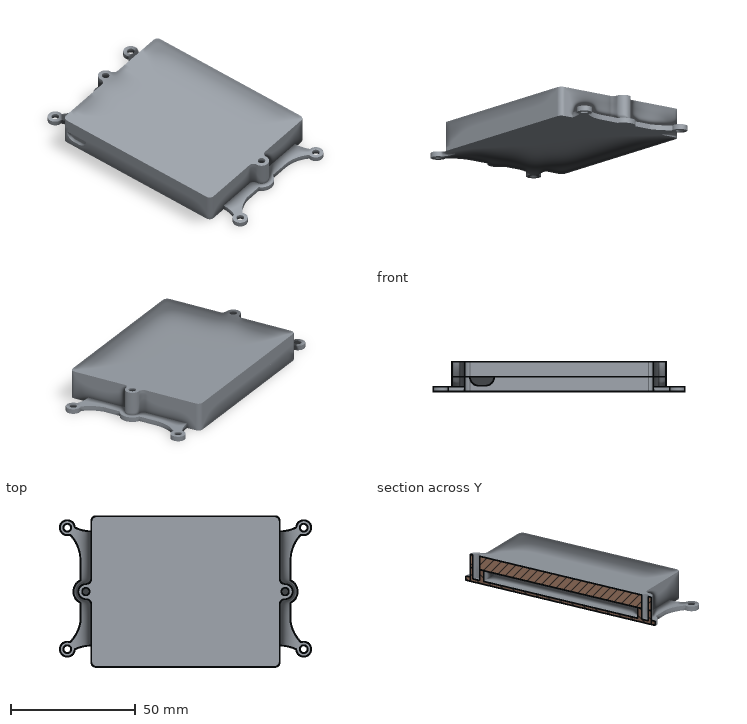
import cadquery as cq
import math

overall_length = 100.7
height = 12.0
case_length = 75.5
case_width = 60.4
base_height = 5.9
lid_height = height - base_height
corner_radius = 2.0

ear_center_x = 39.9
ear_radius = 3.0
ear_blend_radius = 2.0
hole_diameter = 3.0

wall = 1.5
floor = 1.5

slot_center_x = -30.8
slot_width = 9.8
slot_depth = 3.6

bracket_thickness = 2.0
bracket_edge_x = 42.1
bracket_disc_radius = 5.0
foot_radius = 3.0
foot_x = overall_length / 2 - foot_radius
back_foot_y = 25.6
front_foot_y = -23.1
end_edge_inset = 1.4
edge_curve_radius = 15.1
straight_edge_half_length = 12.1
foot_join_x = 46.2

half_length = case_length / 2
half_width = case_width / 2
select_margin = 0.1


def case_outline(thickness):
    """Rounded rectangle with one blended screw ear on each short side."""
    ears = cq.Workplane("XY").slot2D(2 * (ear_center_x + ear_radius), 2 * ear_radius).extrude(thickness)
    box = cq.Workplane("XY").box(case_length, case_width, thickness, centered=(True, True, False))
    box = box.edges("|Z").fillet(corner_radius)
    blend_corners = cq.selectors.BoxSelector(
        (-half_length - select_margin, -ear_radius - select_margin, 0),
        (half_length + select_margin, ear_radius + select_margin, thickness),
    )
    return box.union(ears).edges("|Z").edges(blend_corners).fillet(ear_blend_radius)


def ear_holes(bottom):
    """Cutters for the two screw holes, from the given height upwards."""
    return (
        cq.Workplane("XY", origin=(0, 0, bottom))
        .pushPoints([(-ear_center_x, 0), (ear_center_x, 0)])
        .circle(hole_diameter / 2)
        .extrude(height)
    )


def make_lid():
    """Solid cover plate with the two screw holes right through it."""
    return case_outline(lid_height).translate((0, 0, base_height)).cut(ear_holes(0))


def make_base():
    """Open tray with a cable slot in its front wall and blind screw holes in its ears."""
    cavity = (
        cq.Workplane("XY", origin=(0, 0, floor))
        .rect(case_length - 2 * wall, case_width - 2 * wall)
        .extrude(base_height)
    )
    slot = (
        cq.Workplane("XZ", origin=(slot_center_x, -half_width + wall, base_height))
        .slot2D(slot_width, 2 * slot_depth)
        .extrude(wall)
    )
    return case_outline(base_height).cut(cavity).cut(slot).cut(ear_holes(floor))


def bracket_arm(side, foot_y):
    """Half of a bracket web, from the middle of the case side to the foot at foot_y."""
    foot_distance = abs(foot_y)
    end_start_y = foot_distance - end_edge_inset
    end_run = foot_x - foot_radius - half_length
    end_rise = edge_curve_radius - math.sqrt(edge_curve_radius**2 - end_run**2)
    join_y = foot_distance - math.sqrt(foot_radius**2 - (foot_x - foot_join_x) ** 2)

    def point(x, y):
        return (side * x, math.copysign(y, foot_y))

    arc_radius = math.copysign(edge_curve_radius, side * foot_y)
    return (
        cq.Workplane("XY")
        .moveTo(*point(half_length, 0))
        .lineTo(*point(half_length, end_start_y))
        .radiusArc(point(half_length + end_run, end_start_y + end_rise), -arc_radius)
        .lineTo(*point(foot_x, foot_distance))
        .lineTo(*point(foot_join_x, join_y))
        .radiusArc(point(bracket_edge_x, straight_edge_half_length), -arc_radius)
        .lineTo(*point(bracket_edge_x, 0))
        .close()
        .extrude(bracket_thickness)
    )


def make_bracket(side):
    """Flat mounting bracket, fitted around the case on the given side (-1 or 1 along X)."""
    feet = [(side * foot_x, back_foot_y), (side * foot_x, front_foot_y)]
    disc = cq.Workplane("XY").center(side * ear_center_x, 0).circle(bracket_disc_radius)
    bracket = (
        bracket_arm(side, back_foot_y)
        .union(bracket_arm(side, front_foot_y))
        .union(disc.extrude(bracket_thickness))
        .union(cq.Workplane("XY").pushPoints(feet).circle(foot_radius).extrude(bracket_thickness))
    )
    foot_holes = cq.Workplane("XY").pushPoints(feet).circle(hole_diameter / 2).extrude(bracket_thickness)
    return bracket.cut(foot_holes).cut(case_outline(bracket_thickness))


lid = make_lid()
base = make_base()
brackets = [make_bracket(side) for side in (-1, 1)]

result = cq.Compound.makeCompound([lid.val(), base.val(), *[bracket.val() for bracket in brackets]])